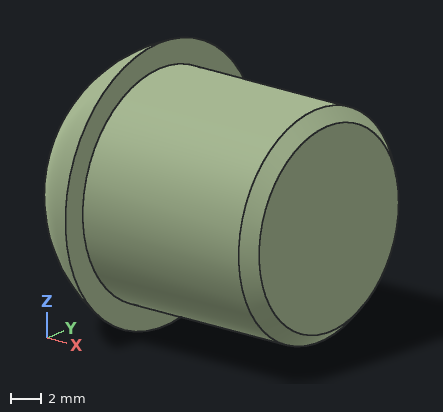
import cadquery as cq

total_length = 21.43
head_diameter = 20.0
head_height = 6.96
shank_diameter = 16.4
tip_chamfer = 0.96

head_radius = head_diameter / 2
shank_radius = shank_diameter / 2
shank_length = total_length - head_height

dome_radius = (head_radius**2 + head_height**2) / (2 * head_height)


def make_head():
    """Spherical cap with its flat face on X = 0 and its crown toward -X."""
    dome_center_x = dome_radius - head_height
    dome = cq.Workplane("YZ").sphere(dome_radius).translate((dome_center_x, 0, 0))
    envelope = cq.Workplane("YZ").circle(dome_radius).extrude(-head_height)
    return dome.intersect(envelope)


def make_shank():
    """Plain cylinder toward +X with a chamfered tip."""
    shank = cq.Workplane("YZ").circle(shank_radius).extrude(shank_length)
    return shank.faces(">X").edges().chamfer(tip_chamfer)


result = make_head().union(make_shank())